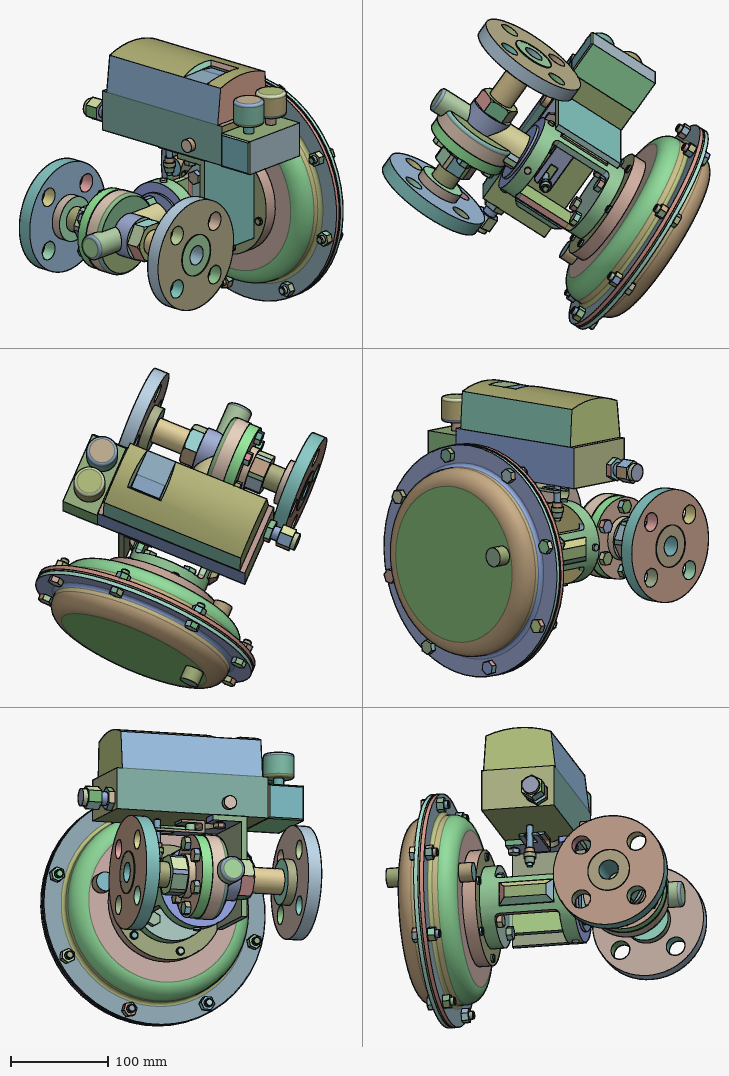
import cadquery as cq
import math


PLANE_X = {"X": (0, 1, 0), "Y": (0, 0, 1), "Z": (1, 0, 0)}
NORMAL = {"X": (1, 0, 0), "Y": (0, 1, 0), "Z": (0, 0, 1)}


def plane_at(axis, point):
    return cq.Workplane(cq.Plane(origin=point, xDir=PLANE_X[axis], normal=NORMAL[axis]))


def rod(axis, point, length, radius):
    """A cylinder that starts at point and runs along the axis."""
    return plane_at(axis, point).circle(radius).extrude(length)


def hexagon(axis, point, length, across_flats, first_corner=0):
    """A hexagonal prism; first_corner is in degrees from +Y, +Z or +X for the X, Y or Z axis."""
    corner_radius = across_flats / math.sqrt(3)
    angles = [math.radians(first_corner + 60 * i) for i in range(6)]
    corners = [(corner_radius * math.cos(a), corner_radius * math.sin(a)) for a in angles]
    return plane_at(axis, point).polyline(corners).close().extrude(length)


def block(x0, x1, y0, y1, z0, z1):
    return cq.Workplane("XY").box(x1 - x0, y1 - y0, z1 - z0, centered=False).translate((x0, y0, z0))


def ring_points(radius, first_angle, count):
    """(angle, x, z) of points evenly spaced on a circle, angles from +X towards +Z."""
    points = []
    for i in range(count):
        angle = first_angle + 360 * i / count
        turn = math.radians(angle)
        points.append((angle, radius * math.cos(turn), radius * math.sin(turn)))
    return points


flange_radius = 58.75
flange_outer_x = 95.5
flange_thickness = 14.5
raised_face_radius = 22
raised_face_height = 1
flange_hub_radius = 23.8
flange_hub_end_x = 71
flange_hole_radius = 9.8
flange_hole_circle = 82.6 / 2
pipe_radius = 13.35
bore_radius = 10.3
bore_depth = 55

nut_flats = 38
left_nut_x = (-53.6, -36.7)
left_nut_flats = 38.8
left_nut_corner_flats = 42
right_nut_x = (20.7, 35.9)
right_nut_chamfer = 2
hub_radius = 22.6

cover_x = (-29, -17.8)
cover_radius = 42.7
bowl_end_x = 0.8
bowl_radius = 43.4
bowl_round = 5
bowl_trim = 0.7
cover_bolt_circle = 33.6
cover_bolt_flats = 12.7
cover_bolt_head = 6.1

drain_radius = 13.2
drain_end_y = -55.9
drain_round = 3

neck_radius = 22.1
neck_centre_x = -3.3
neck_facets = [(-4.3, 27.3), (-10.3, 27.3), (-15.5, 18)]

yoke_radius = 42.6
yoke_front_y = 50.2
yoke_rear_y = 149.3
spigot_radius = 31.8
spigot_front_y = 47.4
window_y = (66.3, 134.6)
window_round = 5.2
arm_half_height = 19.3
cavity_half_width = 31.4
cavity_round = 2.7
pad_y = (70.9, 128.3)
pad_half_height = 12.3
pad_slope = 6.3
pad_x = yoke_radius + pad_slope
pad_root_x = 38
set_screw_y = 57.5
set_screw_radius = 3.5
set_screw_reach = 45
yoke_bolt_offset = 22
yoke_bolt_flats = 12.7
yoke_bolt_head = 5.9

mount_radius = 60
casing_front_y = 163.4
casing_rear_y = 225.7
casing_radius = 98.2
casing_round = 17
rim_radius = 120.65
rim_front_y = 190.1
rim_rear_y = 200.5
rim_root_round = 3.8
diaphragm_y = (194.4, 196.2)
diaphragm_radius = rim_radius - 0.3
port_radius = 9.9
port_x = -67.7
port_z = 17.7
port_rear_y = 240
mount_bolt_circle = 52.3
mount_bolt_radius = 4.2
mount_bolt_head = 2.8
mount_bolt_chamfer = 0.9
rim_bolt_circle = 111.4
rim_bolt_flats = 13
rim_bolt_head = 6
rim_nut_height = 7.3
rim_head_turn = 23
rim_nut_turn = -3
rim_stud_radius = 4.2
rim_stud_end_y = 178
rim_stud_chamfer = 0.9

case_x = (-86.3, 78.3)
case_y = (60.1, 136.7)
case_z = (77.6, 120.4)
cap_x = (-80.5, 72.3)
cap_base_y = (60.1, 136.2)
cap_shoulder_y = (64.7, 133.6)
cap_shoulder_z = 159.5
cap_top_z = 166.07
recess_floor_x = (21.4, 53.0)
recess_top_x = (18.3, 56.2)
recess_ridge = (92.8, 160.2)
recess_floor_back = (107.9, 160.6)
recess_sunken_z = 158.3
recess_back_y = 111
knob_x = 35.1
fitting_z = 90.5
knob_radius = 6.8
knob_end_y = 53.6

manifold_x = 117
manifold_y = (58.2, 137)
manifold_z = (77, 113.1)
manifold_chamfer = 1.4
gauge_centres = [(96.3, 115.6), (97, 80.5)]
gauge_radius = 15.9
gauge_round = 3
gauge_z = (123.1, 148.7)
gauge_stem_radius = 5.4

fitting_y = 77.2
fitting_flats = 20.7
fitting_end_x = -119.9
fitting_nut_x = (-114.8, -100.4)
fitting_base_x = -92.6
fitting_neck_radius = 7.2
fitting_end_radius = 9

bracket_x = (pad_x, 55)
bracket_y = (58.8, 136)
bracket_bottom_z = -27.5
shelf_x = 18
shelf_bottom_z = 71.7
shelf_slot_y = 97.2
shelf_slot_radius = 17.4
shelf_bolt_x = 28
shelf_bolt_ys = (67.7, 128.9)
shelf_bolt_flats = 11
shelf_bolt_z = (65.5, 70)
shelf_bolt_radius = 3.5

lever_y = 99.2
lever_width = 20.8
lever_x = (-36.8, 19.7)
lever_upper_x = -6
lever_z = (63, 76)
lever_thickness = 2.6
lever_bend_round = 3
lever_corner_round = 4.2
lever_slot_width = 8.4
lever_slot_end_x = -12
lever_shaft_x = 7.4
lever_shaft_radius = 4.9

pin_x = -28.8
pin_radius = 3.3
pin_tip_radius = 1.5
pin_tip_z = 77
pin_shoulder_z = 76
pin_collar_radius = 4.8
pin_collar_top_z = 51.3
pin_nut_radius = 6.2
pin_nut_z = (41.3, 46.3)
pin_taper_radii = (5.4, 4.5)
pin_taper_end_z = 35.2
pin_stub_radius = 3
pin_bottom_z = 32.2


def pipe_end(side, pipe_end_x):
    """Flange, hub and pipe at one end of the valve; side is -1 or +1."""
    face_x = side * flange_outer_x
    end = rod("X", (face_x, 0, 0), -side * flange_thickness, flange_radius)
    hole_offset = flange_hole_circle / math.sqrt(2)
    square = [(u * hole_offset, v * hole_offset) for u in (-1, 1) for v in (-1, 1)]
    holes = plane_at("X", (face_x, 0, 0)).pushPoints(square).circle(flange_hole_radius)
    end = end.cut(holes.extrude(-side * flange_thickness))
    end = end.union(rod("X", (face_x, 0, 0), side * raised_face_height, raised_face_radius))
    hub_length = flange_outer_x - flange_hub_end_x
    end = end.union(rod("X", (face_x, 0, 0), -side * hub_length, flange_hub_radius))
    end = end.union(rod("X", (face_x, 0, 0), pipe_end_x - face_x, pipe_radius))
    bore_start = side * (flange_outer_x + raised_face_height)
    return end.cut(rod("X", (bore_start, 0, 0), -side * bore_depth, bore_radius))


def left_nut():
    """Hexagon whose corners are cut flat."""
    start, end = left_nut_x
    nut = hexagon("X", (start, 0, 0), end - start, left_nut_flats)
    return nut.intersect(hexagon("X", (start, 0, 0), end - start, left_nut_corner_flats, 30))


def right_nut():
    start, end = right_nut_x
    length = end - start
    nut = hexagon("X", (start, 0, 0), length, nut_flats)
    corner_radius = nut_flats / math.sqrt(3)
    turned = rod("X", (start, 0, 0), length, corner_radius).faces(">X").chamfer(right_nut_chamfer)
    return nut.intersect(turned)


def cover_bolts():
    bolts = []
    for _, y, z in ring_points(cover_bolt_circle, 30, 6):
        bolts.append(hexagon("X", (cover_x[0], y, z), -cover_bolt_head, cover_bolt_flats))
    return bolts


def neck():
    """Joins the valve to the yoke: round on the +X side and faceted on the -X side."""
    half_height = math.sqrt(neck_radius**2 - neck_centre_x**2)
    upper = [(0, half_height), *neck_facets]
    lower = [(x, -z) for x, z in reversed(upper)]
    outline = (
        cq.Workplane("XZ")
        .moveTo(*upper[0])
        .polyline(upper[1:] + lower, includeCurrent=True)
        .threePointArc((neck_centre_x + neck_radius, 0), upper[0])
        .close()
    )
    return outline.extrude(-yoke_front_y)


def valve_parts():
    bowl = rod("X", (cover_x[1], 0, 0), bowl_end_x + bowl_trim - cover_x[1], bowl_radius)
    bowl = bowl.faces(">X").edges().fillet(bowl_round)
    bowl = bowl.cut(rod("X", (bowl_end_x, 0, 0), bowl_trim, bowl_radius))
    drain = rod("Y", (0, 0, 0), drain_end_y, drain_radius).faces("<Y").edges().fillet(drain_round)
    return [
        pipe_end(-1, left_nut_x[0]),
        pipe_end(1, right_nut_x[1]),
        left_nut(),
        right_nut(),
        rod("X", (left_nut_x[1], 0, 0), right_nut_x[0] - left_nut_x[1], hub_radius),
        rod("X", (cover_x[0], 0, 0), cover_x[1] - cover_x[0], cover_radius),
        bowl,
        drain,
        neck(),
        *cover_bolts(),
    ]


def yoke_pad(side):
    """Pad on the outside of one yoke arm: a flat base with sloped sides above it."""
    length = pad_y[1] - pad_y[0]
    middle_y = (pad_y[0] + pad_y[1]) / 2
    height = 2 * pad_half_height
    base = plane_at("X", (side * pad_root_x, middle_y, 0)).rect(length, height)
    base = base.extrude(side * (yoke_radius - pad_root_x))
    tip = plane_at("X", (side * yoke_radius, middle_y, 0)).rect(length, height)
    tip = tip.workplane(offset=side * (pad_x - yoke_radius))
    return base.union(tip.rect(length - 2 * pad_slope, height - 2 * pad_slope).loft())


def yoke_parts():
    yoke = rod("Y", (0, yoke_front_y, 0), yoke_rear_y - yoke_front_y, yoke_radius)
    window_top = yoke_radius + window_round
    for z0, z1 in ((arm_half_height, window_top), (-window_top, -arm_half_height)):
        window = block(-yoke_radius, yoke_radius, *window_y, z0, z1)
        yoke = yoke.cut(window.edges("|X").fillet(window_round))
    cavity = block(-cavity_half_width, cavity_half_width, *window_y, -yoke_radius, yoke_radius)
    yoke = yoke.cut(cavity.edges("|Z").fillet(cavity_round))
    parts = [yoke, yoke_pad(-1), yoke_pad(1)]
    parts.append(rod("Y", (0, spigot_front_y, 0), yoke_front_y - spigot_front_y, spigot_radius))
    parts.append(rod("X", (-set_screw_reach, set_screw_y, 0), 2 * set_screw_reach, set_screw_radius))
    parts.append(rod("Z", (0, set_screw_y, -set_screw_reach), 2 * set_screw_reach, set_screw_radius))
    for x in (-yoke_bolt_offset, yoke_bolt_offset):
        for z in (-yoke_bolt_offset, yoke_bolt_offset):
            parts.append(hexagon("Y", (x, window_y[1], z), -yoke_bolt_head, yoke_bolt_flats))
    return parts


def casing():
    """Domed casing turned about Y, with a rounded root on each side of the rim."""
    flat_radius = casing_radius - casing_round
    bend = casing_round * math.sqrt(0.5)
    front_bend_y = casing_front_y + casing_round
    rear_bend_y = casing_rear_y - casing_round
    root_radius = casing_radius + rim_root_round
    root_bend = rim_root_round * math.sqrt(0.5)
    front_root_y = rim_front_y - rim_root_round
    rear_root_y = rim_rear_y + rim_root_round
    profile = (
        cq.Workplane("XY")
        .moveTo(0, casing_front_y)
        .lineTo(flat_radius, casing_front_y)
        .threePointArc((flat_radius + bend, front_bend_y - bend), (casing_radius, front_bend_y))
        .lineTo(casing_radius, front_root_y)
        .threePointArc((root_radius - root_bend, front_root_y + root_bend), (root_radius, rim_front_y))
        .lineTo(root_radius, rim_rear_y)
        .threePointArc((root_radius - root_bend, rear_root_y - root_bend), (casing_radius, rear_root_y))
        .lineTo(casing_radius, rear_bend_y)
        .threePointArc((flat_radius + bend, rear_bend_y + bend), (flat_radius, casing_rear_y))
        .lineTo(0, casing_rear_y)
        .close()
    )
    return profile.revolve(360, (0, 0, 0), (0, 1, 0))


def rim_bolts():
    """Hexagon head behind the rim, nut and stud end in front of it."""
    bolts = []
    for angle, x, z in ring_points(rim_bolt_circle, 30, 8):
        head_corner = 90 - (angle + rim_head_turn)
        nut_corner = 90 - (angle + rim_nut_turn)
        bolts.append(hexagon("Y", (x, rim_rear_y, z), rim_bolt_head, rim_bolt_flats, head_corner))
        bolts.append(hexagon("Y", (x, rim_front_y, z), -rim_nut_height, rim_bolt_flats, nut_corner))
        stud = rod("Y", (x, rim_front_y, z), rim_stud_end_y - rim_front_y, rim_stud_radius)
        bolts.append(stud.faces("<Y").chamfer(rim_stud_chamfer))
    return bolts


def mount_bolts():
    bolts = []
    for _, x, z in ring_points(mount_bolt_circle, 45, 6):
        bolt = rod("Y", (x, yoke_rear_y, z), -mount_bolt_head, mount_bolt_radius)
        bolts.append(bolt.faces("<Y").chamfer(mount_bolt_chamfer))
    return bolts


def actuator_parts():
    return [
        rod("Y", (0, yoke_rear_y, 0), casing_front_y - yoke_rear_y, mount_radius),
        casing(),
        rod("Y", (0, rim_front_y, 0), diaphragm_y[0] - rim_front_y, rim_radius),
        rod("Y", (0, diaphragm_y[0], 0), diaphragm_y[1] - diaphragm_y[0], diaphragm_radius),
        rod("Y", (0, diaphragm_y[1], 0), rim_rear_y - diaphragm_y[1], rim_radius),
        rod("Y", (port_x, yoke_rear_y, port_z), port_rear_y - yoke_rear_y, port_radius),
        *rim_bolts(),
        *mount_bolts(),
    ]


def cap():
    """Tapered cover with an arched top and a display recess open to the front."""
    front, rear = cap_base_y
    shoulder_front, shoulder_rear = cap_shoulder_y
    middle_y = (shoulder_front + shoulder_rear) / 2
    outline = (
        plane_at("X", (cap_x[0], 0, 0))
        .moveTo(front, case_z[1])
        .lineTo(shoulder_front, cap_shoulder_z)
        .threePointArc((middle_y, cap_top_z), (shoulder_rear, cap_shoulder_z))
        .lineTo(rear, case_z[1])
        .close()
    )
    return outline.extrude(cap_x[1] - cap_x[0]).cut(display_recess())


def display_recess():
    """Recess that narrows downwards between sloped sides; its floor sinks towards the back."""
    front_y = cap_shoulder_y[0]
    floor = [
        (front_y, cap_top_z),
        (front_y, cap_shoulder_z),
        recess_ridge,
        recess_floor_back,
        (recess_back_y, cap_top_z),
    ]
    length = plane_at("X", (recess_top_x[0], 0, 0)).polyline(floor).close()
    length = length.extrude(recess_top_x[1] - recess_top_x[0])
    sides = [
        (recess_top_x[0], cap_top_z),
        (recess_floor_x[0], cap_shoulder_z),
        (recess_floor_x[1], cap_shoulder_z),
        (recess_top_x[1], cap_top_z),
    ]
    recess = length.intersect(cq.Workplane("XZ").polyline(sides).close().extrude(-recess_back_y))
    wedge = [recess_ridge, recess_floor_back, (recess_floor_back[0], recess_sunken_z)]
    sunken = plane_at("X", (recess_floor_x[0], 0, 0)).polyline(wedge).close()
    return recess.union(sunken.extrude(recess_floor_x[1] - recess_floor_x[0]))


def manifold_parts():
    box = block(case_x[1], manifold_x, *manifold_y, *manifold_z)
    parts = [box.faces("<Y").edges().chamfer(manifold_chamfer)]
    for x, y in gauge_centres:
        stem_z = manifold_z[1]
        parts.append(rod("Z", (x, y, stem_z), gauge_z[0] - stem_z, gauge_stem_radius))
        gauge = rod("Z", (x, y, gauge_z[0]), gauge_z[1] - gauge_z[0], gauge_radius)
        parts.append(gauge.edges().fillet(gauge_round))
    return parts


def fitting_parts():
    """Tube fitting on the -X face of the case, one corner of its hexagons pointing up."""

    def place(x):
        return (x, fitting_y, fitting_z)

    nut_start, nut_end = fitting_nut_x
    return [
        rod("X", place(fitting_end_x), nut_start - fitting_end_x, fitting_end_radius),
        hexagon("X", place(nut_start), nut_end - nut_start, fitting_flats, 90),
        rod("X", place(nut_end), fitting_base_x - nut_end, fitting_neck_radius),
        hexagon("X", place(fitting_base_x), case_x[0] - fitting_base_x, fitting_flats, 90),
    ]


def bracket_parts():
    """Angle bracket: an upright plate on the yoke pad and a slotted shelf under the case."""
    plate = block(*bracket_x, *bracket_y, bracket_bottom_z, case_z[0])
    shelf = block(shelf_x, bracket_x[1], *bracket_y, shelf_bottom_z, case_z[0])
    shelf_thickness = case_z[0] - shelf_bottom_z
    shelf = shelf.cut(rod("Z", (shelf_x, shelf_slot_y, shelf_bottom_z), shelf_thickness, shelf_slot_radius))
    parts = [plate, shelf]
    head_bottom, head_top = shelf_bolt_z
    for y in shelf_bolt_ys:
        head_at = (shelf_bolt_x, y, head_bottom)
        parts.append(hexagon("Z", head_at, head_top - head_bottom, shelf_bolt_flats))
        parts.append(rod("Z", head_at, shelf_bottom_z - head_bottom, shelf_bolt_radius))
    return parts


def lever_parts():
    """Strip bent into a U and hung on the positioner shaft, slotted for the feedback pin."""
    near_y = lever_y - lever_width / 2
    far_y = lever_y + lever_width / 2
    bottom, top = lever_z
    end_x = lever_x[1]
    lever = block(lever_x[0], end_x, near_y, far_y, bottom, top)
    inside = block(lever_x[0], end_x - lever_thickness, near_y, far_y, bottom + lever_thickness,
                   top - lever_thickness)
    lever = lever.cut(inside.edges("|Y and >X").fillet(lever_bend_round))
    lever = lever.cut(block(lever_x[0], lever_upper_x, near_y, far_y, bottom + lever_thickness, top))
    lever = lever.edges("|Z and <X").fillet(lever_corner_round)
    slot_edge = lever_slot_width / 2
    slot = block(lever_x[0], lever_slot_end_x, lever_y - slot_edge, lever_y + slot_edge, bottom, top)
    lever = lever.cut(slot)
    shaft = rod("Z", (lever_shaft_x, lever_y, bottom), case_z[0] - bottom, lever_shaft_radius)
    return [lever, shaft]


def positioner_parts():
    return [
        block(*case_x, *case_y, *case_z),
        cap(),
        rod("Y", (knob_x, case_y[0], fitting_z), knob_end_y - case_y[0], knob_radius),
        *manifold_parts(),
        *fitting_parts(),
        *bracket_parts(),
        *lever_parts(),
    ]


def make_feedback_pin():
    """Turned pin that stands in the lever slot without touching it."""
    outline = [
        (0, pin_tip_z),
        (pin_tip_radius, pin_tip_z),
        (pin_tip_radius, pin_shoulder_z),
        (pin_radius, pin_shoulder_z),
        (pin_radius, pin_collar_top_z),
        (pin_collar_radius, pin_collar_top_z),
        (pin_collar_radius, pin_nut_z[1]),
        (pin_nut_radius, pin_nut_z[1]),
        (pin_nut_radius, pin_nut_z[0]),
        (pin_taper_radii[0], pin_nut_z[0]),
        (pin_taper_radii[1], pin_taper_end_z),
        (pin_stub_radius, pin_taper_end_z),
        (pin_stub_radius, pin_bottom_z),
        (0, pin_bottom_z),
    ]
    turned = cq.Workplane("XZ").polyline(outline).close().revolve(360, (0, 0, 0), (0, 1, 0))
    return turned.translate((pin_x, lever_y, 0))


def make_valve_assembly():
    """Valve, yoke, actuator and positioner joined into one solid."""
    parts = yoke_parts() + actuator_parts() + valve_parts() + positioner_parts()
    assembly = parts[0]
    for part in parts[1:]:
        assembly = assembly.union(part)
    return assembly


valve_assembly = make_valve_assembly()
feedback_pin = make_feedback_pin()

result = cq.Compound.makeCompound([*valve_assembly.vals(), feedback_pin.val()])